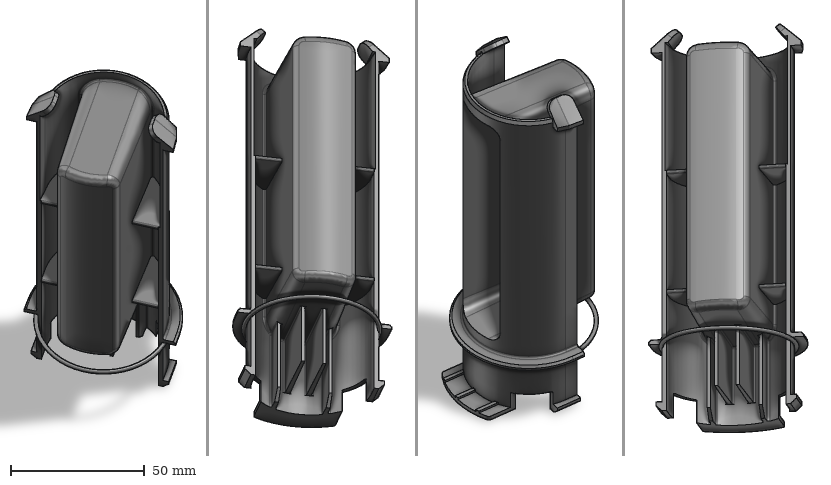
import cadquery as cq
import math

SHELL_RADIUS = 24.5
WALL = 1.8
INNER_RADIUS = SHELL_RADIUS - WALL
MID_WALL_RADIUS = SHELL_RADIUS - WALL / 2
FRONT_RELIEF = 0.6
FRONT_Y = -5.2
RIM_Z = 143.0
RIM_CHAMFER_HEIGHT = 1.5
RIM_CHAMFER_DEPTH = 0.7

LEG_BACK_Y = 5.4
NOTCH_TOP_Z = 9.8
SKIRT_HALF_WIDTH = 15.6
SKIRT_BOTTOM_Z = 0.9
HOOK_REACH = 26.8
HOOK_TOP_Z = 3.5
HOOK_EDGE_Z = 2.1
NOTCH_FILLET = 0.9

FOOT_RADIUS = 32.5
FOOT_TOP_Z = 2.7
FOOT_CORNER = 1.5
FOOT_RIB_WIDTH = 1.5
FOOT_RIB_HEIGHT = 0.9
FOOT_RIB_SPACING = 10.9

FLANGE_RADIUS = 29.51
FLANGE_BOTTOM_Z = 25.9
FLANGE_THICKNESS = 1.8
FLANGE_CHAMFER = 0.9
FLANGE_ROOT_FILLET = 0.9
RING_WIRE_RADIUS = 0.82

CLIP_BOTTOM_Z = 139.1
CLIP_EDGE_Z = 141.0
CLIP_TOP_Z = 148.7
CLIP_REACH = 28.5
CLIP_TIP_X = 19.6
CLIP_TIP_WIDTH = 1.5
CLIP_TIP_DROP = 1.2
CLIP_ROOT_X = 22.2
CLIP_MID_SHIFT = 0.5
CLIP_BACK_SHIFT = 1.8
CLIP_CORNER = 3.7
CLIP_BEND_Y = 0.9

BOX_HALF_WIDTH = 13.7
BOX_BOTTOM_Z = 31.4
BOX_TOP_Z = 138.5
BOX_CORNER = 6.2
BOX_DRAFT = 2.0
BOX_EDGE_FILLET = 3.3
BOX_ROOT_FILLET = 0.9
BOX_FRONT_RADIUS = 25.1
BOX_WALL = 1.3

WEB_THICKNESS = 1.5
WEB_EDGE_FILLET = 0.52
WEB_HEIGHTS = (46.2, 92.6)
WEB_FRONT_Y = -5.5
RIB_BASE = 2.0
RIB_TIP = 1.2
RIB_ROOT_FILLET = 0.6
INNER_RIB_X = 4.09
INNER_RIB_FRONT_Y = -3.5
INNER_RIB_BOTTOM_Z = 9.0
OUTER_RIB_X = 9.89
OUTER_RIB_FRONT_Y = 11.1
OUTER_RIB_CHAMFER = 4.2


def half_round(radius, bottom, top):
    """Prism with a U outline: a half disc behind y = 0 and straight sides to the front edge."""
    return (
        cq.Workplane("XY", origin=(0, 0, bottom))
        .moveTo(-radius, FRONT_Y)
        .lineTo(radius, FRONT_Y)
        .lineTo(radius, 0)
        .threePointArc((0, radius), (-radius, 0))
        .close()
        .extrude(top - bottom)
    )


def block(x_range, y_range, z_range):
    """Box given by its limits along each axis."""
    limits = (x_range, y_range, z_range)
    sizes = [high - low for low, high in limits]
    return cq.Workplane("XY").box(*sizes, centered=False).translate(tuple(low for low, _ in limits))


def both_sides(body):
    """The body together with its mirror image across the YZ plane."""
    return body.union(body.mirror("YZ"))


def make_shell():
    outer = half_round(SHELL_RADIUS, 0, RIM_Z - RIM_CHAMFER_HEIGHT)
    rim_radius = SHELL_RADIUS - RIM_CHAMFER_DEPTH
    rim = half_round(SHELL_RADIUS, RIM_Z - RIM_CHAMFER_HEIGHT, RIM_Z)
    rim_cone = cq.Workplane("XY").add(
        cq.Solid.makeCone(
            SHELL_RADIUS, rim_radius, RIM_CHAMFER_HEIGHT, pnt=cq.Vector(0, 0, RIM_Z - RIM_CHAMFER_HEIGHT)
        )
    )
    front_rim = rim.intersect(
        block((-rim_radius, rim_radius), (FRONT_Y, 0), (0, RIM_Z))
    )
    rear_rim = rim.intersect(rim_cone)
    return outer.union(rear_rim).union(front_rim)


def bore():
    relief = (
        cq.Workplane("XY", origin=(0, 0, WEB_HEIGHTS[-1]))
        .polyline([(0, 0), (INNER_RADIUS, 0), (INNER_RADIUS + FRONT_RELIEF, FRONT_Y), (0, FRONT_Y)])
        .close()
        .extrude(RIM_Z - WEB_HEIGHTS[-1])
    )
    return half_round(INNER_RADIUS, 0, RIM_Z).union(both_sides(relief))


def notches():
    """Cuts that separate the legs from the rear skirt and shorten the skirt."""
    corner = (
        block((SKIRT_HALF_WIDTH, FLANGE_RADIUS), (LEG_BACK_Y, FLANGE_RADIUS), (0, NOTCH_TOP_Z))
        .edges("|X and <Y and >Z")
        .fillet(NOTCH_FILLET)
    )
    skirt_end = block(
        (-SKIRT_HALF_WIDTH, SKIRT_HALF_WIDTH), (LEG_BACK_Y, FLANGE_RADIUS), (0, SKIRT_BOTTOM_Z)
    )
    return both_sides(corner).union(skirt_end)


def leg_hooks():
    hook = (
        cq.Workplane("XZ", origin=(0, FRONT_Y, 0))
        .polyline([
            (INNER_RADIUS, 0),
            (SHELL_RADIUS, 0),
            (HOOK_REACH, HOOK_EDGE_Z),
            (HOOK_REACH, HOOK_TOP_Z),
            (INNER_RADIUS, HOOK_TOP_Z),
        ])
        .close()
        .extrude(FRONT_Y - LEG_BACK_Y)
    )
    return both_sides(hook)


def foot():
    height = FOOT_TOP_Z - SKIRT_BOTTOM_Z
    sector = (
        cq.Workplane("XY", origin=(0, 0, SKIRT_BOTTOM_Z))
        .circle(FOOT_RADIUS)
        .circle(INNER_RADIUS)
        .extrude(height)
        .intersect(
            block((-SKIRT_HALF_WIDTH, SKIRT_HALF_WIDTH), (0, FOOT_RADIUS), (SKIRT_BOTTOM_Z, FOOT_TOP_Z))
        )
    )
    sector = sector.edges("|Z").edges("<X or >X").edges(">Y").fillet(FOOT_CORNER)
    for x in (-FOOT_RIB_SPACING, 0, FOOT_RIB_SPACING):
        bar = block(
            (x - FOOT_RIB_WIDTH / 2, x + FOOT_RIB_WIDTH / 2),
            (INNER_RADIUS / 2, FOOT_RADIUS),
            (SKIRT_BOTTOM_Z, FOOT_TOP_Z + FOOT_RIB_HEIGHT),
        )
        sector = sector.union(round_face(bar, FOOT_RADIUS))
    return sector


def flange():
    plate = half_round(FLANGE_RADIUS, FLANGE_BOTTOM_Z, FLANGE_BOTTOM_Z + FLANGE_THICKNESS)
    return plate.faces(">Z").edges("not <Y").chamfer(FLANGE_CHAMFER)


def fillet_flange_root(body):
    """Round the corner between the shell wall and the top of the flange."""
    top = FLANGE_BOTTOM_Z + FLANGE_THICKNESS
    root = cq.selectors.BoxSelector(
        (-SHELL_RADIUS - 0.1, FRONT_Y + 0.1, top - 0.1), (SHELL_RADIUS + 0.1, 17.1, top + 0.1)
    )
    return body.edges(root).fillet(FLANGE_ROOT_FILLET)


def clips():
    """Barbed clips at the rim: one sloped section, shifted inward towards the rear."""
    def wire(y, shift):
        section = [
            (MID_WALL_RADIUS, CLIP_BOTTOM_Z),
            (CLIP_REACH - shift, CLIP_BOTTOM_Z),
            (CLIP_REACH - shift, CLIP_EDGE_Z),
            (CLIP_TIP_X, CLIP_TOP_Z),
            (CLIP_TIP_X - CLIP_TIP_WIDTH, CLIP_TOP_Z - CLIP_TIP_DROP),
            (CLIP_ROOT_X, RIM_Z),
            (MID_WALL_RADIUS, RIM_Z),
        ]
        return cq.Wire.makePolygon([cq.Vector(x, y, z) for x, z in section], close=True)

    front = wire(FRONT_Y, 0)
    middle = wire(CLIP_BEND_Y, CLIP_MID_SHIFT)
    back = wire(LEG_BACK_Y, CLIP_BACK_SHIFT)
    clip = cq.Workplane("XY").add(cq.Solid.makeLoft([front, middle], True))
    clip = clip.union(cq.Workplane("XY").add(cq.Solid.makeLoft([middle, back], True)))
    tip_corners = cq.selectors.BoxSelector(
        (CLIP_TIP_X - CLIP_TIP_WIDTH, 2 * FRONT_Y, CLIP_TOP_Z - CLIP_TIP_DROP),
        (CLIP_TIP_X, -2 * FRONT_Y, CLIP_TOP_Z),
    )
    tip = clip.edges(tip_corners).edges("<Y or >Y").fillet(CLIP_CORNER)
    return both_sides(tip)


def box_prism(inset, start_y):
    """Drafted rounded block that narrows towards -Y; `inset` is the wall left around it."""
    width = 2 * (BOX_HALF_WIDTH - inset)
    height = BOX_TOP_Z - BOX_BOTTOM_Z - 2 * inset
    return (
        cq.Workplane("XZ", origin=(0, start_y, (BOX_TOP_Z + BOX_BOTTOM_Z) / 2))
        .sketch()
        .rect(width, height)
        .vertices()
        .fillet(BOX_CORNER - inset)
        .finalize()
        .extrude(start_y + 2 * SHELL_RADIUS, taper=BOX_DRAFT)
    )


def round_face(body, radius):
    """Trim the body to a cylinder about the Z axis."""
    return body.intersect(cq.Workplane("XY").circle(radius).extrude(RIM_Z))


def box_body(inset, rear_radius):
    """Box shape with a front face curved about the Z axis and its rear kept inside a radius."""
    front_radius = BOX_FRONT_RADIUS - inset
    front_limit = cq.Workplane("XY").circle(front_radius).extrude(RIM_Z)
    front_limit = front_limit.intersect(
        block((-front_radius, front_radius), (-front_radius, 0), (0, RIM_Z))
    )
    rear_limit = half_round(rear_radius, 0, RIM_Z).intersect(
        block((-rear_radius, rear_radius), (0, rear_radius), (0, RIM_Z))
    )
    return box_prism(inset, SHELL_RADIUS).intersect(front_limit.union(rear_limit))


def box_outside():
    return box_body(0, SHELL_RADIUS).faces("<Y").edges().fillet(BOX_EDGE_FILLET)


def box_cavity():
    return box_body(BOX_WALL, FLANGE_RADIUS)


def fillet_box_root(body):
    """Round the corner where the box meets the inside of the shell."""
    half_width = BOX_HALF_WIDTH + BOX_WALL
    root = cq.selectors.BoxSelector(
        (-half_width, SHELL_RADIUS / 2, BOX_BOTTOM_Z - BOX_WALL),
        (half_width, INNER_RADIUS + WALL / 4, BOX_TOP_Z + BOX_WALL),
    )
    return body.edges(root).fillet(BOX_ROOT_FILLET)


def webs():
    """Horizontal webs tying the shell sides to the box."""
    layers = cq.Workplane("XY")
    for height in WEB_HEIGHTS:
        bottom = height - WEB_THICKNESS / 2
        layer = half_round(MID_WALL_RADIUS, bottom, bottom + WEB_THICKNESS)
        tongue = block(
            (-INNER_RADIUS, INNER_RADIUS), (WEB_FRONT_Y, 0), (bottom, bottom + WEB_THICKNESS)
        )
        layer = layer.union(tongue).faces("<Y").edges("|X").fillet(WEB_EDGE_FILLET)
        layers = layers.add(layer)
    return layers.combine()


def rib(x, front_y, bottom_z):
    """Upright rib from the shell wall to the front, thinner at its front edge."""
    near_x = x - RIB_BASE / 2
    far_x = x + RIB_BASE / 2
    return (
        cq.Workplane("XY", origin=(0, 0, bottom_z))
        .polyline([
            (near_x, math.sqrt(MID_WALL_RADIUS**2 - near_x**2)),
            (x - RIB_TIP / 2, front_y),
            (x + RIB_TIP / 2, front_y),
            (far_x, math.sqrt(MID_WALL_RADIUS**2 - far_x**2)),
        ])
        .close()
        .extrude(BOX_BOTTOM_Z + BOX_CORNER - bottom_z)
    )


def ribs():
    inner = rib(INNER_RIB_X, INNER_RIB_FRONT_Y, INNER_RIB_BOTTOM_Z)
    outer = rib(OUTER_RIB_X, OUTER_RIB_FRONT_Y, SKIRT_BOTTOM_Z)
    outer = outer.faces("<Y").edges("<Z").chamfer(OUTER_RIB_CHAMFER)
    return both_sides(inner.union(outer))


def fillet_rib_roots(body):
    """Round the corners where the ribs meet the inside of the shell."""
    reach = OUTER_RIB_X + RIB_BASE
    roots = cq.selectors.BoxSelector(
        (-reach, math.sqrt(INNER_RADIUS**2 - reach**2), SKIRT_BOTTOM_Z), (reach, INNER_RADIUS, BOX_BOTTOM_Z)
    )
    return body.edges("|Z").edges(roots).fillet(RIB_ROOT_FILLET)


def make_ring():
    path_radius = SHELL_RADIUS + RING_WIRE_RADIUS
    return (
        cq.Workplane("XZ", origin=(0, 0, FLANGE_BOTTOM_Z - RING_WIRE_RADIUS))
        .center(path_radius, 0)
        .circle(RING_WIRE_RADIUS)
        .revolve(360, (-path_radius, 0), (-path_radius, 1))
    )


def make_housing():
    body = fillet_flange_root(make_shell().union(flange())).cut(bore()).cut(notches())
    body = fillet_box_root(body.union(box_outside()))
    body = fillet_rib_roots(body.union(ribs()))
    body = body.union(foot().cut(bore())).union(leg_hooks()).union(clips()).union(webs())
    return body.cut(box_cavity())


ring = make_ring()
housing = make_housing().cut(ring)

result = cq.Compound.makeCompound([housing.val(), ring.val()])